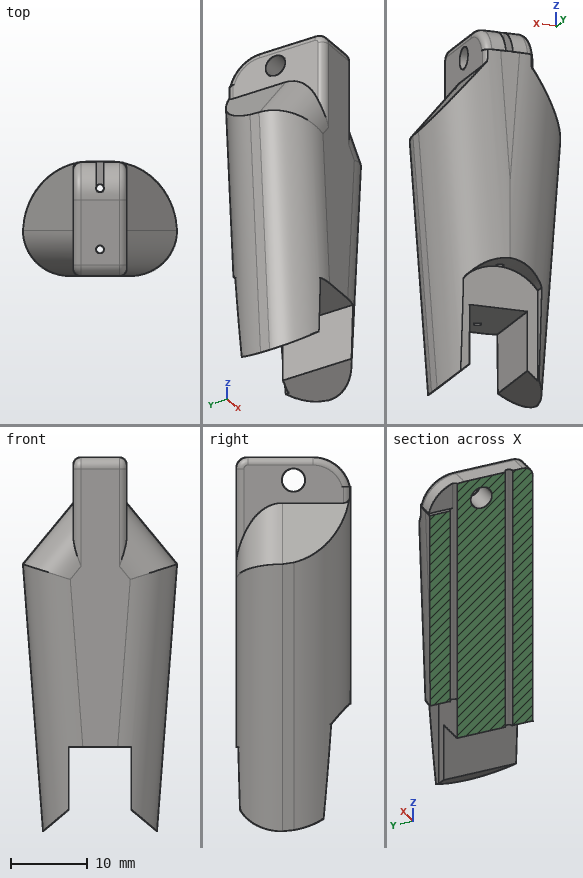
import cadquery as cq
import math

front_y = -6.0
back_y = 9.0
top_z = 48.88
mid_y = (front_y + back_y) / 2
depth = back_y - front_y

shoulder_half_width = 10.085
shoulder_z = 34.9
bottom_half_width = 7.46
shoulder_angle = 50.5
front_radius = 6.0
back_radius = 9.5

lug_width = 7.0
lug_root_z = 30.0
neck_z = 45.0
lug_back_radius = 5.0
lug_front_radius = 1.5
lug_side_radius = 1.0
pin_diameter = 3.0
pin_drop = 3.0

cord_diameter = 1.0
cord_offset = 4.0

slot_width = 8.1
slot_roof_z = 11.0
leg_tip_angle = 40.0
pocket_width = 11.0
pocket_depth = 4.0
pocket_roof_z = 16.7
pocket_roof_radius = 7.0

margin = 5.0
blank_size = 100.0


def extrude_along_y(outline, start_y, end_y):
    """Extrude a closed XZ outline from start_y to end_y."""
    return outline.extrude(start_y - end_y).translate((0, start_y, 0))


def both_sides(right_half):
    """Keep what lies inside a right-hand boundary and inside its mirror image."""
    return right_half.intersect(right_half.mirror("YZ"))


def make_rounded_sides(lean_angle, rounded_back):
    """Pair of mirrored side faces through the shoulder corners, with rounded front edges.

    The right-hand face leans lean_angle from vertical, outward at the top when positive.
    A rounded back is a narrow flat up to mid depth, followed by an arc tangent to the back plane.
    """
    side_y = front_y + front_radius
    outline = (
        cq.Workplane("XY")
        .moveTo(-blank_size, front_y)
        .lineTo(-front_radius, front_y)
        .radiusArc((0, side_y), -front_radius)
    )
    if rounded_back:
        arc_center_y = back_y - back_radius
        arc_center_x = -math.sqrt(back_radius**2 - (side_y - arc_center_y) ** 2)
        flat_end_x = arc_center_x + math.sqrt(back_radius**2 - (mid_y - arc_center_y) ** 2)
        outline = outline.lineTo(flat_end_x, mid_y).radiusArc((arc_center_x, back_y), -back_radius)
    else:
        outline = outline.lineTo(0, back_y)
    right_half = (
        outline.lineTo(-blank_size, back_y)
        .close()
        .extrude(blank_size, both=True)
        .rotate((0, 0, 0), (0, 1, 0), lean_angle)
        .translate((shoulder_half_width, 0, shoulder_z))
    )
    return both_sides(right_half)


def make_walls():
    """Tapered side walls, rounded into the flat front and into the back."""
    taper = math.degrees(math.atan((shoulder_half_width - bottom_half_width) / shoulder_z))
    return make_rounded_sides(taper, rounded_back=True)


def make_shoulders():
    """Two slopes falling to the sides from the neck, rounded into the flat front only."""
    slopes = make_rounded_sides(shoulder_angle - 90, rounded_back=False)
    above_neck = cq.Workplane("XY").workplane(offset=neck_z).rect(blank_size, blank_size).extrude(blank_size)
    return slopes.cut(above_neck)


def make_lug_block(height):
    """Plain block of the lug's width and depth, rising from the lug root."""
    block = cq.Workplane("XY").box(lug_width, depth, height, centered=(True, False, False))
    return block.translate((0, front_y, lug_root_z))


def make_lug():
    """Upright lug with a rounded back corner above a full-depth neck, all with softened side edges."""
    lug = make_lug_block(top_z - lug_root_z)
    lug = lug.faces(">Z").edges(">Y").fillet(lug_back_radius)
    lug = lug.faces(">Z").edges("<Y").fillet(lug_front_radius)
    lug = lug.faces("<X or >X").edges("not <Z").fillet(lug_side_radius)
    neck = make_lug_block(neck_z - lug_root_z).edges("|Z").fillet(lug_side_radius)
    return lug.union(neck)


def make_pin_hole():
    """Cross hole through the lug."""
    return (
        cq.Workplane("YZ")
        .center(mid_y, top_z - pin_drop)
        .circle(pin_diameter / 2)
        .extrude(lug_width, both=True)
    )


def make_cord_path():
    """Two vertical holes, the rear one opening into a groove across the back corner."""
    holes = (
        cq.Workplane("XY")
        .pushPoints([(0, mid_y - cord_offset), (0, mid_y + cord_offset)])
        .circle(cord_diameter / 2)
        .extrude(top_z + margin)
    )
    groove = (
        cq.Workplane("XY")
        .box(cord_diameter, blank_size, blank_size, centered=(True, False, False))
        .translate((0, mid_y + cord_offset, neck_z))
    )
    return holes.union(groove)


def make_fork_slot():
    """Square slot running front to back between the two legs."""
    outline = cq.Workplane("XZ").center(0, (slot_roof_z - margin) / 2).rect(slot_width, slot_roof_z + margin)
    return extrude_along_y(outline, front_y - margin, back_y + margin)


def make_back_pocket():
    """Wider arched recess in the back of the fork."""
    half = pocket_width / 2
    spring_z = pocket_roof_z - pocket_roof_radius + math.sqrt(pocket_roof_radius**2 - half**2)
    outline = (
        cq.Workplane("XZ")
        .moveTo(-half, -margin)
        .lineTo(-half, spring_z)
        .threePointArc((0, pocket_roof_z), (half, spring_z))
        .lineTo(half, -margin)
        .close()
    )
    return extrude_along_y(outline, back_y - pocket_depth, back_y + margin)


def make_tip_cut():
    """Wedge below the legs, leaving each tip lowest at its outer side."""
    reach = bottom_half_width + margin
    rise = math.tan(math.radians(leg_tip_angle))
    peak_z = rise * bottom_half_width
    low_z = peak_z - rise * reach
    outline = cq.Workplane("XZ").polyline([(-reach, low_z), (0, peak_z), (reach, low_z)])
    outline = outline.lineTo(reach, -blank_size).lineTo(-reach, -blank_size).close()
    return extrude_along_y(outline, front_y - margin, back_y + margin)


body = make_walls().intersect(make_shoulders().union(make_lug()))
for cutter in (make_pin_hole(), make_cord_path(), make_fork_slot(), make_back_pocket(), make_tip_cut()):
    body = body.cut(cutter)

result = body